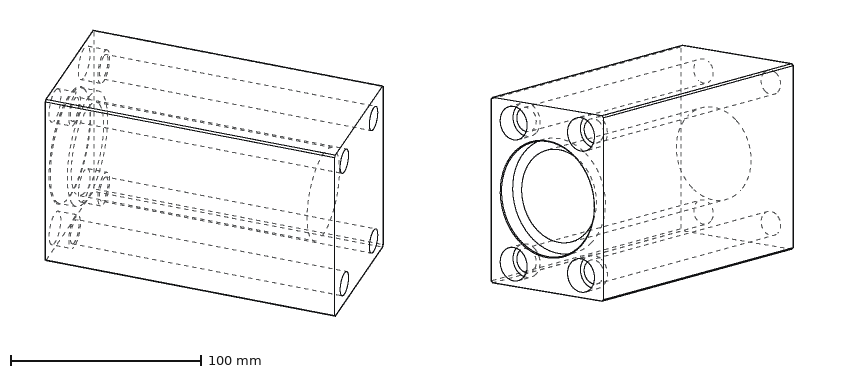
import cadquery as cq

LENGTH = 162.0
WIDTH = 75.0
HEIGHT = 100.0
EDGE_CHAMFER = 1.0

BORE_DIAMETER = 50.0
END_WALL = 20.0
MOUTH_DIAMETER = 62.0
MOUTH_DEPTH = 10.0
MOUTH_CHAMFER = 0.5

BOLT_SPACING_Y = 45.0
BOLT_SPACING_Z = 76.0
BOLT_HOLE_DIAMETER = 13.0
BOLT_HEAD_DIAMETER = 18.0
BOLT_HEAD_DEPTH = 11.0

FRONT_X = -LENGTH / 2


def bore_from_front(diameter, depth, y=0.0, z=0.0):
    """Cylinder that starts on the -X end face and runs in +X."""
    start = cq.Vector(FRONT_X, y, z)
    return cq.Workplane(cq.Solid.makeCylinder(diameter / 2, depth, start, cq.Vector(1, 0, 0)))


def make_body():
    """Block with its four long edges chamfered."""
    return cq.Workplane("XY").box(LENGTH, WIDTH, HEIGHT).edges("|X").chamfer(EDGE_CHAMFER)


def cut_cylinder_bore(body):
    """Main bore, its wider mouth and the lead-in chamfer on the mouth rim."""
    mouth = bore_from_front(MOUTH_DIAMETER, MOUTH_DEPTH)
    lead_in = cq.Workplane(
        cq.Solid.makeCone(
            MOUTH_DIAMETER / 2 + MOUTH_CHAMFER,
            MOUTH_DIAMETER / 2,
            MOUTH_CHAMFER,
            cq.Vector(FRONT_X, 0, 0),
            cq.Vector(1, 0, 0),
        )
    )
    bore = bore_from_front(BORE_DIAMETER, LENGTH - END_WALL)
    return body.cut(bore).cut(mouth).cut(lead_in)


def cut_bolt_holes(body):
    """Through holes with bolt-head counterbores at the four corners."""
    for y in (-BOLT_SPACING_Y / 2, BOLT_SPACING_Y / 2):
        for z in (-BOLT_SPACING_Z / 2, BOLT_SPACING_Z / 2):
            body = body.cut(bore_from_front(BOLT_HOLE_DIAMETER, LENGTH, y, z))
            body = body.cut(bore_from_front(BOLT_HEAD_DIAMETER, BOLT_HEAD_DEPTH, y, z))
    return body


result = cut_bolt_holes(cut_cylinder_bore(make_body()))